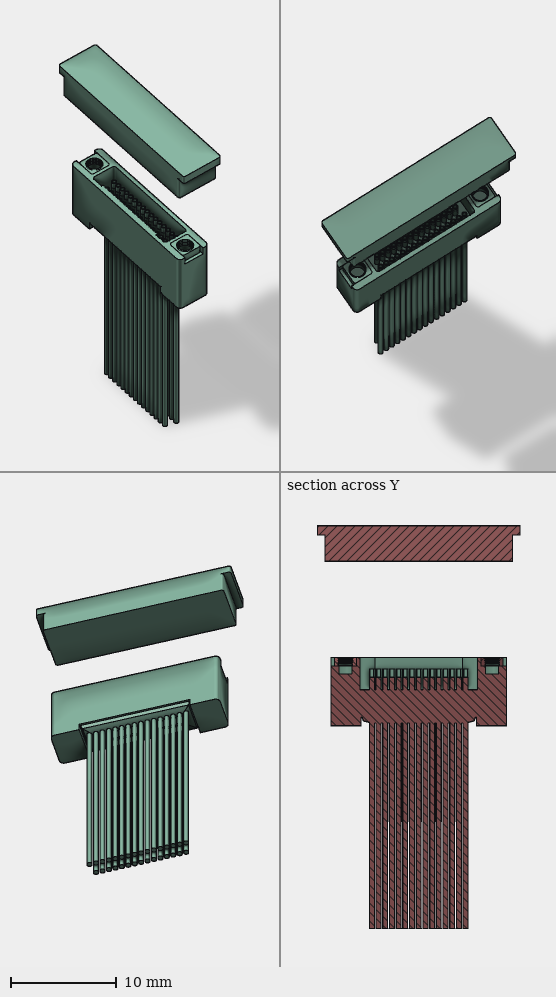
import cadquery as cq
import math

total_height = 38.2
housing_bottom = 19.22
housing_height = 6.5
housing_top = housing_bottom + housing_height

cap_length = 19.22
cap_width = 4.5
plate_thickness = 0.9
block_length = 17.8
block_height = 2.5
cap_corner_radius = 0.23

housing_length = 16.65
housing_width = 3.55
housing_corner_radius = 0.45
notch_length = 10.93
notch_height = 0.8
notch_roof = housing_bottom + notch_height

cavity_length = 11.12
cavity_wall = 0.45
cavity_width = housing_width - 2 * cavity_wall
cavity_depth = 3.05
cavity_corner_radius = 0.25
key_length = 8.33
key_thickness = 0.2

bead_length = 10.78
bead_width = 3.2
bead_side_height = 0.35
bead_side_taper = 25.0
bead_slope_height = 0.23
bead_slope_taper = 76.0

wire_diameter = 0.5
rear_row_length = 9.5
rear_row_count = 16
front_row_count = rear_row_count - 1
wire_pitch = rear_row_length / (rear_row_count - 1)
rear_row_y = 0.65
front_row_y = -0.45
contact_drop = 1.1
contact_top = housing_top - contact_drop
socket_diameter = 0.35
socket_depth = 0.75

insert_length = 2.05
insert_width = 2.18
insert_height = 0.8
insert_bottom = housing_top - insert_height
insert_corner_radius = 0.23
insert_setback = 0.35
insert_x = housing_length / 2 - insert_setback - insert_length / 2
thread_diameter = 1.65
thread_bore = 1.5
thread_count = 4
thread_pitch = insert_height / thread_count
screw_hole_depth = 0.75


def rounded_block(length, width, height, radius, bottom):
    """Block centred on the Z axis, with rounded vertical edges."""
    block = cq.Workplane("XY").workplane(offset=bottom).rect(length, width).extrude(height)
    return block.edges("|Z").fillet(radius)


def row_points(count, y):
    """Wire centres of one row, centred on X = 0."""
    first_x = -wire_pitch * (count - 1) / 2
    return [(first_x + i * wire_pitch, y) for i in range(count)]


wire_points = row_points(rear_row_count, rear_row_y) + row_points(front_row_count, front_row_y)


def make_cap():
    plate_bottom = total_height - plate_thickness
    plate = rounded_block(cap_length, cap_width, plate_thickness, cap_corner_radius, plate_bottom)
    block = rounded_block(
        block_length, cap_width, block_height, cap_corner_radius, plate_bottom - block_height
    )
    return plate.union(block, clean=False)


def make_bead():
    """Bead hanging from the notch roof, narrowing downwards in two slopes."""
    sides = cq.Workplane("XY").workplane(offset=notch_roof).rect(bead_length, bead_width)
    sides = sides.extrude(-bead_side_height, taper=bead_side_taper)
    inset = 2 * bead_side_height * math.tan(math.radians(bead_side_taper))
    slope = cq.Workplane("XY").workplane(offset=notch_roof - bead_side_height)
    slope = slope.rect(bead_length - inset, bead_width - inset)
    slope = slope.extrude(-bead_slope_height, taper=bead_slope_taper)
    return sides.union(slope)


def make_key():
    """Rib standing on the -Y wall of the cavity over its full depth."""
    key = cq.Workplane("XY").workplane(offset=housing_top - cavity_depth)
    key = key.center(0, (key_thickness - cavity_width) / 2)
    return key.rect(key_length, key_thickness).extrude(cavity_depth)


def insert_pocket(side):
    """Pocket at one end: fits the insert and runs out through the end wall."""
    seat = rounded_block(
        insert_length, insert_width, insert_height, insert_corner_radius, insert_bottom
    ).translate((side * insert_x, 0, 0))
    outer_half = cq.Workplane("XY").workplane(offset=insert_bottom)
    outer_half = outer_half.center(side * (insert_x + insert_length / 2), 0)
    outer_half = outer_half.rect(insert_length, insert_width).extrude(insert_height)
    return seat.union(outer_half)


def make_housing():
    """Housing with its sealing bead, wires and contacts."""
    housing = rounded_block(
        housing_length, housing_width, housing_height, housing_corner_radius, housing_bottom
    )
    notch = cq.Workplane("XY").workplane(offset=housing_bottom)
    housing = housing.cut(notch.rect(notch_length, housing_width).extrude(notch_height))
    cavity = rounded_block(
        cavity_length, cavity_width, cavity_depth, cavity_corner_radius, housing_top - cavity_depth
    )
    housing = housing.cut(cavity.cut(make_key()))
    for side in (-1, 1):
        housing = housing.cut(insert_pocket(side))
        screw_hole = cq.Workplane("XY").workplane(offset=insert_bottom).center(side * insert_x, 0)
        housing = housing.cut(screw_hole.circle(thread_bore / 2).extrude(-screw_hole_depth))
    housing = housing.union(make_bead())
    wires = cq.Workplane("XY").pushPoints(wire_points).circle(wire_diameter / 2).extrude(contact_top)
    sockets = cq.Workplane("XY").workplane(offset=contact_top).pushPoints(wire_points)
    sockets = sockets.circle(socket_diameter / 2).extrude(-socket_depth)
    return housing.union(wires).cut(sockets)


def threaded_hole():
    """Solid of a through hole whose thread is a stack of ring-shaped V grooves."""
    crest_radius = thread_bore / 2
    root_radius = thread_diameter / 2
    profile = cq.Workplane("XZ").moveTo(0, insert_bottom).lineTo(crest_radius, insert_bottom)
    for i in range(thread_count):
        groove_bottom = insert_bottom + i * thread_pitch
        profile = profile.lineTo(root_radius, groove_bottom + thread_pitch / 2)
        profile = profile.lineTo(crest_radius, groove_bottom + thread_pitch)
    return profile.lineTo(0, housing_top).close().revolve(360, (0, 0, 0), (0, 1, 0))


def make_insert(side):
    insert = rounded_block(
        insert_length, insert_width, insert_height, insert_corner_radius, insert_bottom
    )
    insert = insert.cut(threaded_hole())
    return insert.translate((side * insert_x, 0, 0))


cap = make_cap()
housing = make_housing()
inserts = [make_insert(side) for side in (-1, 1)]

result = cq.Compound.makeCompound(
    [cap.val(), housing.val(), *[insert.val() for insert in inserts]]
)